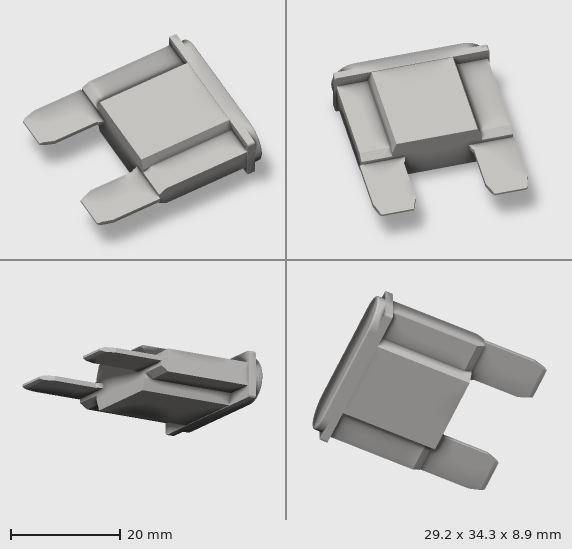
import cadquery as cq

TOTAL_LENGTH = 34.3
CAP_WIDTH = 29.2
CAP_HEIGHT = 8.9

CAP_LENGTH = 3.05
CROWN_LENGTH = 1.58
CROWN_EDGE_RADIUS = 0.38
FLANGE_CORNER_RADIUS = 0.48

HOUSING_LENGTH = 18.53
HOUSING_WIDTH = 28.55
CORE_HEIGHT = 8.65
CORE_TOP_WIDTH = 15.3
CORE_BASE_WIDTH = 16.88
WING_HEIGHT = 4.4
WING_BEVEL_LENGTH = 1.48
WING_BEVEL_DEPTH = 0.95

BLADE_WIDTH = 8.0
BLADE_THICKNESS = 0.9
NECK_LENGTH = 1.3
NECK_FLARE = 0.6
NECK_KINK_LENGTH = 1.03
NECK_KINK_FLARE = 0.25
OUTER_TAPER_LENGTH = 2.8
INNER_TAPER_LENGTH = 2.65
OUTER_TAPER = 0.75
INNER_TAPER = 1.0
TIP_LENGTH = 0.8
TIP_BEVEL = 0.25
TIP_CORNER = 0.25

CAP_END = TOTAL_LENGTH / 2
CAP_FACE = CAP_END - CAP_LENGTH
HOUSING_FACE = CAP_FACE - HOUSING_LENGTH
TIP_END = -TOTAL_LENGTH / 2


def section_at(y):
    """Workplane across the part at station y, extruding toward -Y."""
    return cq.Workplane("XZ", origin=(0, y, 0))


def make_cap():
    flange = (
        section_at(CAP_END - CROWN_LENGTH)
        .rect(CAP_WIDTH, CAP_HEIGHT)
        .extrude(CAP_LENGTH - CROWN_LENGTH)
        .edges("|Y")
        .fillet(FLANGE_CORNER_RADIUS)
    )
    crown = (
        section_at(CAP_END)
        .slot2D(CAP_WIDTH, CAP_HEIGHT)
        .extrude(CROWN_LENGTH)
        .faces(">Y")
        .edges()
        .fillet(CROWN_EDGE_RADIUS)
    )
    return flange.union(crown)


def make_core():
    core_top = CORE_HEIGHT / 2
    wing_top = WING_HEIGHT / 2
    half_top = CORE_TOP_WIDTH / 2
    half_base = CORE_BASE_WIDTH / 2
    outline = [
        (-half_top, core_top),
        (half_top, core_top),
        (half_base, wing_top),
        (half_base, -wing_top),
        (half_top, -core_top),
        (-half_top, -core_top),
        (-half_base, -wing_top),
        (-half_base, wing_top),
    ]
    return section_at(CAP_FACE).polyline(outline).close().extrude(HOUSING_LENGTH)


def make_wings():
    """Full-width slab beveled at the blade end; the core hides its middle."""
    return (
        section_at(CAP_FACE)
        .rect(HOUSING_WIDTH, WING_HEIGHT)
        .extrude(HOUSING_LENGTH)
        .faces("<Y")
        .edges("|X")
        .chamfer(WING_BEVEL_LENGTH, WING_BEVEL_DEPTH)
    )


def make_blade_profile():
    """Slab across the whole width that thins toward the tip on both faces."""
    face = BLADE_THICKNESS / 2
    nose = face - TIP_BEVEL
    bevel_start = TIP_END + TIP_LENGTH
    outline = [
        (HOUSING_FACE, face),
        (bevel_start, face),
        (TIP_END, nose),
        (TIP_END, -nose),
        (bevel_start, -face),
        (HOUSING_FACE, -face),
    ]
    return (
        cq.Workplane("YZ", origin=(-CAP_WIDTH / 2, 0, 0))
        .polyline(outline)
        .close()
        .extrude(CAP_WIDTH)
    )


def make_left_blade():
    outer = -CAP_WIDTH / 2
    inner = outer + BLADE_WIDTH
    outline = [
        (outer, HOUSING_FACE),
        (inner + NECK_FLARE, HOUSING_FACE),
        (inner + NECK_KINK_FLARE, HOUSING_FACE - NECK_KINK_LENGTH),
        (inner, HOUSING_FACE - NECK_LENGTH),
        (inner, TIP_END + INNER_TAPER_LENGTH),
        (inner - INNER_TAPER, TIP_END),
        (outer + OUTER_TAPER + TIP_CORNER, TIP_END),
        (outer + OUTER_TAPER, TIP_END + TIP_CORNER),
        (outer, TIP_END + OUTER_TAPER_LENGTH),
    ]
    plan = (
        cq.Workplane("XY", origin=(0, 0, -BLADE_THICKNESS / 2))
        .polyline(outline)
        .close()
        .extrude(BLADE_THICKNESS)
    )
    return plan.intersect(make_blade_profile())


left_blade = make_left_blade()
right_blade = left_blade.mirror("YZ")

result = make_cap().union(make_wings()).union(make_core()).union(left_blade).union(right_blade)